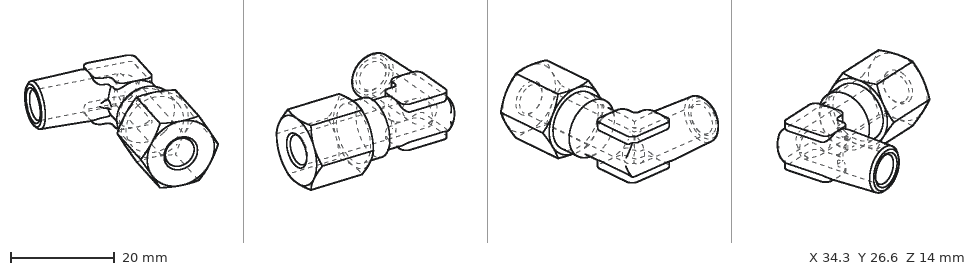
import cadquery as cq
import math


body_radius = 5.0
heel_radius = 2.5
bore_radius = 3.0
bore_tip_length = bore_radius

thread_end = 18.5
thread_start = 7.55
thread_runin = 0.45
gauge_length = 4.5
gauge_radius = 9.728 / 2
taper = 1 / 32
thread_chamfer = 0.55
bore_chamfer = 0.5

nut_end = 29.2
nut_length = 13.0
nut_sides = 6
nut_flats = 14.0
nut_chamfer_radius = 7.0
hexagon_half_sector = math.pi / nut_sides
nut_chamfer_angle = math.radians(30)
collar_radius = 6.0
collar_start = 11.7
neck_radius = 1.5
neck_angle = math.radians(45)

pad_half_x = 3.5
pad_half_y = 3.8
pad_reach = 7.0
pad_half_height = 5.0
pad_corner_radius = 1.5
pad_inner_radius = 1.0

web_inner_radius = 2.0
web_tube_radius = 0.9

nut_start = nut_end - nut_length


def thread_radius(y):
    """Radius of the tapered thread at height y."""
    return gauge_radius + (y + thread_end - gauge_length) * taper


def make_threaded_leg():
    """Revolve the leg about Y, with a rounded cap behind the elbow."""
    shoulder_y = -thread_start
    chamfer_y = thread_chamfer - thread_end
    chamfer_radius = thread_radius(chamfer_y)
    profile = (
        cq.Workplane("XY")
        .moveTo(0, -thread_end)
        .lineTo(chamfer_radius - thread_chamfer, -thread_end)
        .lineTo(chamfer_radius, chamfer_y)
        .lineTo(thread_radius(shoulder_y), shoulder_y)
        .lineTo(body_radius, shoulder_y + thread_runin)
        .lineTo(body_radius, body_radius - heel_radius)
        .radiusArc((body_radius - heel_radius, body_radius), -heel_radius)
        .lineTo(0, body_radius)
        .close()
    )
    leg = profile.revolve(360, (0, 0, 0), (0, 1, 0))

    envelope_width = 4 * body_radius
    heel_envelope = cq.Workplane("YZ").circle(body_radius).extrude(envelope_width / 2, both=True)
    front_envelope = (
        cq.Workplane("XY")
        .box(envelope_width, thread_end, envelope_width)
        .translate((0, -thread_end / 2, 0))
    )
    return leg.intersect(heel_envelope.union(front_envelope))


def make_nut_leg():
    """Revolve body, neck and collar about X."""
    arc_rise = neck_radius * (1 - math.cos(neck_angle))
    arc_length = neck_radius * math.sin(neck_angle)
    cone_base_radius = body_radius + arc_rise
    cone_length = (collar_radius - cone_base_radius) / math.tan(neck_angle)
    arc_end = collar_start - cone_length
    profile = (
        cq.Workplane("XY")
        .lineTo(0, body_radius)
        .lineTo(arc_end - arc_length, body_radius)
        .radiusArc((arc_end, cone_base_radius), -neck_radius)
        .lineTo(collar_start, collar_radius)
        .lineTo(nut_start, collar_radius)
        .lineTo(nut_start, 0)
        .close()
    )
    return profile.revolve(360, (0, 0, 0), (1, 0, 0))


def make_nut():
    """Hexagon with flats facing +/-Z, coned at both ends."""
    corner_radius = nut_flats / 2 / math.cos(hexagon_half_sector)
    chamfer_length = (corner_radius - nut_chamfer_radius) * math.tan(nut_chamfer_angle)
    hexagon = (
        cq.Workplane("YZ")
        .workplane(offset=nut_start)
        .polygon(nut_sides, 2 * corner_radius)
        .extrude(nut_length)
    )
    envelope = (
        cq.Workplane("XY")
        .moveTo(nut_start, 0)
        .lineTo(nut_start, nut_chamfer_radius)
        .lineTo(nut_start + chamfer_length, corner_radius)
        .lineTo(nut_end - chamfer_length, corner_radius)
        .lineTo(nut_end, nut_chamfer_radius)
        .lineTo(nut_end, 0)
        .close()
        .revolve(360, (0, 0, 0), (1, 0, 0))
    )
    return hexagon.intersect(envelope)


def make_pads():
    """One L-shaped block through the elbow forms both pads."""
    outline = [
        (-pad_half_x, pad_half_y),
        (pad_reach, pad_half_y),
        (pad_reach, -pad_half_y),
        (pad_half_x, -pad_half_y),
        (pad_half_x, -pad_reach),
        (-pad_half_x, -pad_reach),
    ]
    block = (
        cq.Workplane("XY")
        .workplane(offset=-pad_half_height)
        .polyline(outline)
        .close()
        .extrude(2 * pad_half_height)
    )
    inner_corner = (pad_half_x, -pad_half_y)
    for corner in outline:
        radius = pad_inner_radius if corner == inner_corner else pad_corner_radius
        nearest = cq.selectors.NearestToPointSelector((*corner, 0))
        block = block.edges("|Z").edges(nearest).fillet(radius)
    return block


def make_web():
    """Quarter ring of round section bridging the inner corner."""
    centre = body_radius + web_inner_radius
    ring_radius = web_inner_radius + web_tube_radius
    return (
        cq.Workplane("XZ", origin=(centre, -centre, 0))
        .center(-ring_radius, 0)
        .circle(web_tube_radius)
        .revolve(90, (ring_radius, 0, 0), (ring_radius, -1, 0))
    )


def make_bore(length):
    """Drilled bore along +X with a conical tip, kept only on its side of the mitre plane."""
    drilling = (
        cq.Workplane("XY")
        .moveTo(-bore_tip_length, 0)
        .lineTo(0, bore_radius)
        .lineTo(length - bore_chamfer, bore_radius)
        .lineTo(length, bore_radius + bore_chamfer)
        .lineTo(length, 0)
        .close()
        .revolve(360, (0, 0, 0), (1, 0, 0))
    )
    block_size = 3 * length
    mitre_side = (
        cq.Workplane("XY")
        .box(block_size, block_size, block_size)
        .translate((block_size / 2, 0, 0))
        .rotate((0, 0, 0), (0, 0, 1), 45)
    )
    return drilling.intersect(mitre_side)


thread_bore = make_bore(thread_end).mirror("XZ").rotate((0, 0, 0), (0, 0, 1), -90)
result = make_threaded_leg().union(make_nut_leg()).union(make_nut())
result = result.union(make_pads()).union(make_web())
result = result.cut(make_bore(nut_end)).cut(thread_bore)